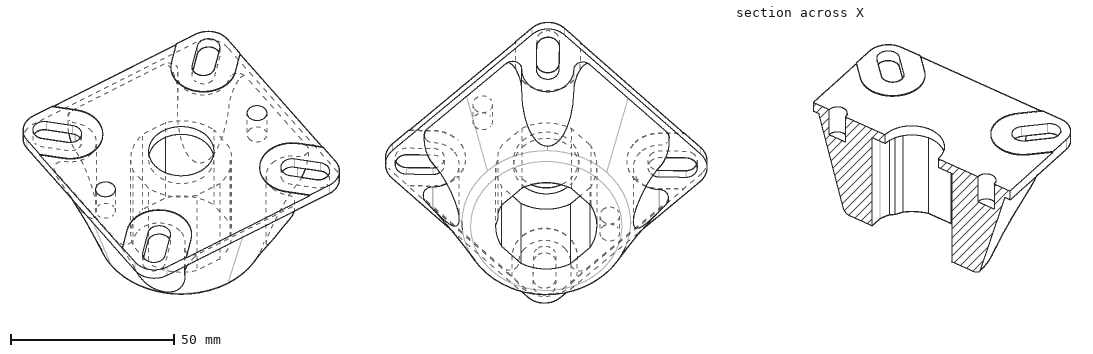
import cadquery as cq
import math

plate_side = 73.8
plate_corner_radius = 7.0
total_height = 39.0
pad_height = 0.3
plate_thickness = 3.6
plate_top = total_height - pad_height
plate_bottom = plate_top - plate_thickness

slot_inner = 24.5
slot_outer = 30.25
slot_radius = 3.5
pad_radius = 9.95
scallop_radius = 8.0
scallop_edge_radius = 2.8
pad_reach = 36.9
scallop_reach = 44.3
corner_angles = (45, 135, 225, 315)

body_top_half = 35.0
foot_radius = 25.8
foot_height = 2.0
foot_flat_radius = 23.2

bore_diameter = 20.0
cavity_radius = 15.5
cavity_half_width = 14.9
blind_hole_radius = 3.0
blind_hole_offset = 27.9
blind_hole_depth = 9.95

ridge_width = 4.4
ridge_tip_offset = 2.65
ridge_height = 0.75


def diagonal_slot(inner, outer, radius, angle):
    """Plan of a round-ended slot along a diagonal of the plate."""
    diagonal = math.sqrt(2)
    middle = (inner + outer) / 2 * diagonal
    center_distance = (outer - inner) * diagonal
    slot = cq.Sketch().push([(middle, 0)]).slot(center_distance, 2 * radius)
    return slot.moved(cq.Location(cq.Vector(), cq.Vector(0, 0, 1), angle))


def extrude_slots(inner, outer, radius, bottom, height):
    """The same diagonal slot at all four corners, as solids."""
    plans = [diagonal_slot(inner, outer, radius, angle) for angle in corner_angles]
    return cq.Workplane("XY").workplane(offset=bottom).placeSketch(*plans).extrude(height)


def rounded_plate(bottom, height):
    return (
        cq.Workplane("XY").workplane(offset=bottom)
        .rect(plate_side, plate_side).extrude(height)
        .edges("|Z").fillet(plate_corner_radius)
    )


def polar_point(radius, angle):
    """Point at an angle in degrees around Z."""
    turn = math.radians(angle)
    return (radius * math.cos(turn), radius * math.sin(turn))


def make_taper():
    """Ruled solid between the square and the foot circle, each split into eight matching edges."""
    step = 45
    angles = range(0, 360, step)
    corner_distance = body_top_half * math.sqrt(2)
    square_points = []
    for angle in angles:
        distance = corner_distance if angle in corner_angles else body_top_half
        square_points.append(polar_point(distance, angle))
    square = cq.Workplane("XY").workplane(offset=plate_bottom).polyline(square_points).close()

    foot = cq.Workplane("XY").workplane(offset=foot_height).moveTo(foot_radius, 0)
    for angle in angles:
        arc_middle = polar_point(foot_radius, angle + step / 2)
        arc_end = polar_point(foot_radius, angle + step)
        foot = foot.threePointArc(arc_middle, arc_end)
    foot = foot.close()
    ruled = True
    return cq.Workplane(cq.Solid.makeLoft([foot.val(), square.val()], ruled))


def make_foot():
    """Round foot disc with a rounded lower edge."""
    profile = (
        cq.Workplane("XZ")
        .lineTo(foot_flat_radius, 0)
        .tangentArcPoint((foot_radius, foot_height), relative=False)
        .lineTo(0, foot_height)
        .close()
    )
    return profile.revolve(360, (0, 0, 0), (0, 1, 0))


def make_scalloped_prism():
    """Upright prism with the body's square plan, scalloped at the corners."""
    prism = cq.Workplane("XY").rect(2 * body_top_half, 2 * body_top_half).extrude(plate_bottom)
    prism = prism.cut(extrude_slots(slot_inner, scallop_reach, scallop_radius, 0, plate_bottom))
    side_faces = prism.faces(">X or <X or >Y or <Y")
    return side_faces.edges("|Z").fillet(scallop_edge_radius)


def make_cavity():
    """Round cavity with four flats and one small ridge."""
    cavity = cq.Workplane("XY").circle(cavity_radius).extrude(plate_bottom)
    flats = cq.Workplane("XY").rect(2 * cavity_half_width, 2 * cavity_half_width).extrude(plate_bottom)
    ridge_outline = [
        (cavity_radius, 0),
        (cavity_radius - ridge_height, ridge_tip_offset),
        (math.sqrt(cavity_radius**2 - ridge_width**2), ridge_width),
        (cavity_radius, ridge_width),
    ]
    ridge = cq.Workplane("XY").polyline(ridge_outline).close().extrude(plate_bottom)
    ridge = ridge.rotate((0, 0, 0), (0, 0, 1), corner_angles[0])
    return cavity.intersect(flats).cut(ridge)


body = make_taper().intersect(make_scalloped_prism()).union(make_foot())
body = body.cut(make_cavity())

plate = rounded_plate(plate_bottom, plate_thickness)
pads = extrude_slots(slot_inner, pad_reach, pad_radius, plate_top, pad_height)
pads = pads.intersect(rounded_plate(plate_top, pad_height))

slots = extrude_slots(slot_inner, slot_outer, slot_radius, plate_bottom, plate_thickness + pad_height)
bore = (
    cq.Workplane("XY").workplane(offset=plate_bottom)
    .circle(bore_diameter / 2).extrude(plate_thickness)
)
blind_holes = (
    cq.Workplane("XY").workplane(offset=plate_top - blind_hole_depth)
    .pushPoints([(0, blind_hole_offset), (0, -blind_hole_offset)])
    .circle(blind_hole_radius).extrude(blind_hole_depth)
)

result = body.union(plate).union(pads).cut(slots).cut(bore).cut(blind_holes)